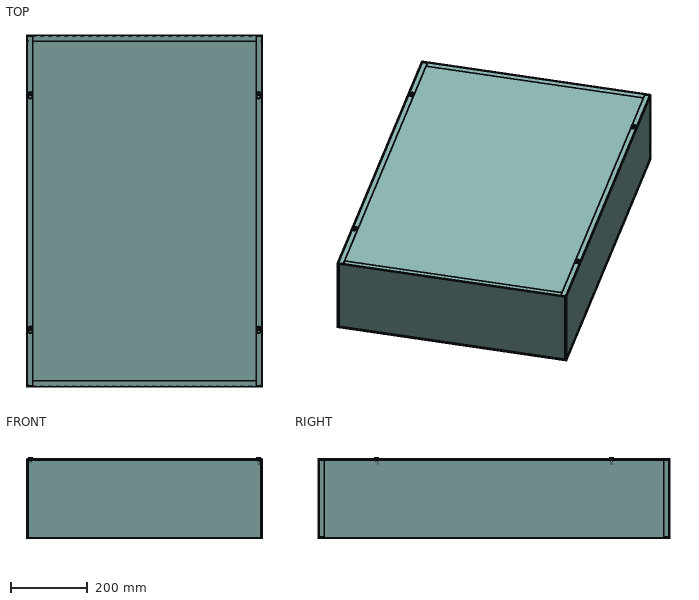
import cadquery as cq

WIDTH = 614.0
LENGTH = 914.0
HEIGHT = 210.0
SHEET = 2.2
FLANGE = 16.0

HEAD_DIAMETER = 9.0
HEAD_TOP_DIAMETER = 7.1
HEAD_HEIGHT = 2.9
SHANK_DIAMETER = 4.3
SHANK_LENGTH = 14.0
SCREW_EDGE_DISTANCE = 10.0
SCREW_PITCH = 610.0

KEYHOLE_DIAMETER = 10.0
KEYHOLE_OFFSET = 7.8
SLOT_WIDTH = 4.85

COVER_INSET = 2.0

COVER_TOP = HEIGHT - HEAD_HEIGHT
BODY_TOP = COVER_TOP - SHEET
WALL_LENGTH = LENGTH - 2 * SHEET
SCREW_X = WIDTH / 2 - SCREW_EDGE_DISTANCE
SCREW_POINTS = [
    (x_side * SCREW_X, y_side * SCREW_PITCH / 2)
    for x_side in (-1, 1)
    for y_side in (-1, 1)
]


def block(x_range, y_range, z_range):
    """Axis-aligned block given by its limits along X, Y and Z."""
    (x0, x1), (y0, y1), (z0, z1) = x_range, y_range, z_range
    return cq.Workplane("XY").box(x1 - x0, y1 - y0, z1 - z0, centered=False).translate((x0, y0, z0))


def make_wrapper():
    """Floor and two side walls, each wall with a flange turned inward under the cover."""
    half_width = WIDTH / 2
    lip = half_width - FLANGE
    profile = [
        (-half_width, 0),
        (half_width, 0),
        (half_width, BODY_TOP),
        (lip, BODY_TOP),
        (lip, BODY_TOP - SHEET),
        (half_width - SHEET, BODY_TOP - SHEET),
        (half_width - SHEET, SHEET),
        (SHEET - half_width, SHEET),
        (SHEET - half_width, BODY_TOP - SHEET),
        (-lip, BODY_TOP - SHEET),
        (-lip, BODY_TOP),
        (-half_width, BODY_TOP),
    ]
    wrapper = cq.Workplane("XZ").polyline(profile).close().extrude(WALL_LENGTH / 2, both=True)
    screw_holes = (
        cq.Workplane("XY", origin=(0, 0, BODY_TOP - SHEET))
        .pushPoints(SCREW_POINTS)
        .circle(SHANK_DIAMETER / 2)
        .extrude(SHEET)
    )
    return wrapper.cut(screw_holes)


def make_end_plate():
    """Plate closing the -Y end, with a top flange and two side flanges reaching into the box."""
    half_width = WIDTH / 2
    outer = -LENGTH / 2
    flange_y = (outer, outer + FLANGE)
    lip = half_width - FLANGE
    inside = half_width - SHEET
    plate = block((-half_width, half_width), (outer, outer + SHEET), (0, BODY_TOP))
    top_flange = block((-lip, lip), flange_y, (BODY_TOP - SHEET, BODY_TOP))
    side_z = (2 * SHEET, BODY_TOP - SHEET)
    left_flange = block((-inside, SHEET - inside), flange_y, side_z)
    right_flange = left_flange.mirror("YZ")
    return plate.union(top_flange).union(left_flange).union(right_flange)


def make_cover():
    """Flat cover with a keyhole at each screw."""
    cover = block(
        (COVER_INSET - WIDTH / 2, WIDTH / 2 - COVER_INSET),
        (-LENGTH / 2, LENGTH / 2),
        (BODY_TOP, COVER_TOP),
    )
    for x, y in SCREW_POINTS:
        sketch_plane = cq.Workplane("XY", origin=(x, y, BODY_TOP))
        large_end = sketch_plane.center(0, -KEYHOLE_OFFSET).circle(KEYHOLE_DIAMETER / 2).extrude(SHEET)
        slot = (
            sketch_plane.center(0, -KEYHOLE_OFFSET / 2)
            .slot2D(KEYHOLE_OFFSET + SLOT_WIDTH, SLOT_WIDTH, 90)
            .extrude(SHEET)
        )
        cover = cover.cut(large_end).cut(slot)
    return cover


def make_screw(x, y):
    """Screw with its round-rimmed head on the cover and its shank going down through the wall flange."""
    seat = cq.Workplane("XY", origin=(x, y, COVER_TOP))
    rim_radius = (HEAD_DIAMETER - HEAD_TOP_DIAMETER) / 2
    head = seat.circle(HEAD_DIAMETER / 2).extrude(HEAD_HEIGHT).faces(">Z").edges().fillet(rim_radius)
    shank = seat.circle(SHANK_DIAMETER / 2).extrude(-SHANK_LENGTH)
    return head.union(shank)


wrapper = make_wrapper()
front_plate = make_end_plate()
back_plate = front_plate.mirror("XZ")
cover = make_cover()
screws = [make_screw(x, y) for x, y in SCREW_POINTS]

result = cq.Compound.makeCompound(
    [
        wrapper.val(),
        front_plate.val(),
        back_plate.val(),
        cover.val(),
        *[screw.val() for screw in screws],
    ]
)